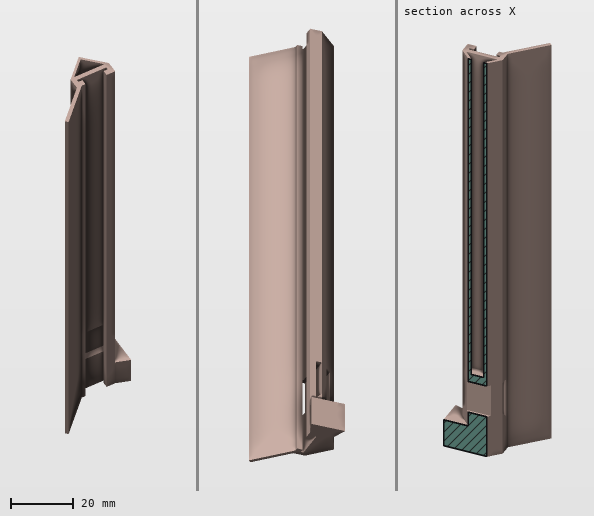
import cadquery as cq

length = 150.0
total_width = 22.5
total_depth = 29.5

tip_y = -12.0
spine_half_depth = 7.0
back_y = tip_y + spine_half_depth
front_y = tip_y - spine_half_depth
flat_start_x = spine_half_depth
flat_end_x = 11.1

bore_tip_x = 1.2
bore_wall_x = 6.8
bore_half_depth = bore_wall_x - bore_tip_x
floor_thickness = 30.0

channel_x = 8.2
lip_x = 9.2
channel_half_depth = 5.4
mouth_half_depth = 3.9

fin_end_step = 0.9
fin_corner_x = total_width - fin_end_step
fin_corner_y = -total_depth
fin_edge_y = fin_corner_y + fin_end_step
fin_root_y = fin_edge_y + total_width - flat_end_x

foot_height = 10.0
foot_left_x = 1.0
foot_right_x = 12.8
foot_waist_x = 3.0

slot_bottom = 15.3
slot_top = 26.8
side_slot_start_x = 2.4
side_slot_end_x = 4.2
flat_slot_end_x = 9.2


def make_profile():
    """Spine, channel and fin extruded over the full length."""
    points = [
        (0, tip_y),
        (flat_start_x, front_y),
        (flat_end_x, front_y),
        (fin_corner_x, fin_corner_y),
        (total_width, fin_edge_y),
        (flat_end_x, fin_root_y),
        (flat_end_x, tip_y - mouth_half_depth),
        (lip_x, tip_y - mouth_half_depth),
        (lip_x, tip_y - channel_half_depth),
        (channel_x, tip_y - channel_half_depth),
        (channel_x, tip_y + channel_half_depth),
        (lip_x, tip_y + channel_half_depth),
        (lip_x, tip_y + mouth_half_depth),
        (flat_end_x, tip_y + mouth_half_depth),
        (flat_end_x, back_y),
        (flat_start_x, back_y),
    ]
    return cq.Workplane("XY").polyline(points).close().extrude(length)


def make_foot():
    """Flared block joining the back of the spine."""
    points = [
        (foot_left_x, 0),
        (foot_right_x, 0),
        (flat_end_x, back_y),
        (flat_start_x, back_y),
        (0, tip_y),
        (foot_waist_x, back_y),
    ]
    return cq.Workplane("XY").polyline(points).close().extrude(foot_height)


def make_bore():
    """Triangular bore, open at the top and closed by a thick floor."""
    points = [
        (bore_tip_x, tip_y),
        (bore_wall_x, tip_y - bore_half_depth),
        (bore_wall_x, tip_y + bore_half_depth),
    ]
    bore = cq.Workplane("XY").workplane(offset=floor_thickness)
    return bore.polyline(points).close().extrude(length)


def make_slot(start_x, end_x, bottom_drop):
    """Slot along Y whose bottom falls by bottom_drop toward +X."""
    points = [
        (start_x, slot_bottom),
        (end_x, slot_bottom - bottom_drop),
        (end_x, slot_top),
        (start_x, slot_top),
    ]
    slot = cq.Workplane("XZ").workplane(offset=-back_y)
    return slot.polyline(points).close().extrude(back_y - front_y)


side_slot = make_slot(side_slot_start_x, side_slot_end_x, 0)
flat_slot = make_slot(flat_start_x, flat_slot_end_x, flat_slot_end_x - flat_start_x)

body = make_profile().union(make_foot())
result = body.cut(make_bore()).cut(side_slot).cut(flat_slot)